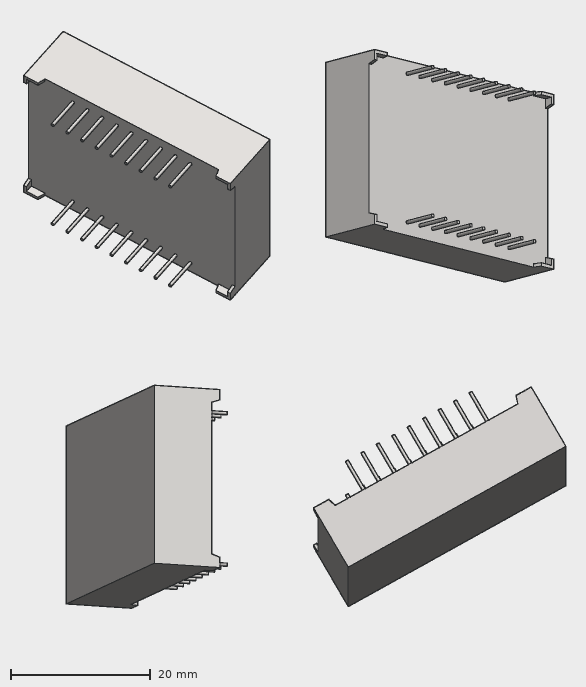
import cadquery as cq

width = 35.8
height = 25.85
total_depth = 14.0
pin_reach = 3.97
foot_height = 1.2
body_depth = total_depth - pin_reach - foot_height

foot_wall = 0.5
foot_tip_x = 2.5
foot_root_x = 2.9
foot_tip_z = 1.5
foot_root_z = 1.9

pins_per_row = 9
pin_pitch = 2.55
row_spacing = 21.98
pin_diameter = 0.5

foot_tip_y = -foot_height
pin_length = foot_height + pin_reach


def leg_profile(plane, root_length, tip_length):
    """Trapezoid starting at the housing corner, drawn as (distance from corner, Y)."""
    return cq.Workplane(plane).polyline(
        [(0, 0), (root_length, 0), (tip_length, foot_tip_y), (0, foot_tip_y)]
    ).close()


def make_foot():
    """Foot at the -X, -Z corner of the housing."""
    leg_along_x = leg_profile("XY", foot_root_x, foot_tip_x).extrude(foot_wall)
    leg_along_z = leg_profile("ZY", foot_root_z, foot_tip_z).extrude(-foot_wall)
    return leg_along_x.union(leg_along_z).translate((-width / 2, 0, -height / 2))


def make_pins():
    """Both rows of pins, standing out of the pin face toward -Y."""
    return (
        cq.Workplane("XZ")
        .rarray(pin_pitch, row_spacing, pins_per_row, 2)
        .circle(pin_diameter / 2)
        .extrude(pin_length)
    )


result = cq.Workplane("XY").box(width, body_depth, height, centered=(True, False, True))

lower_left_foot = make_foot()
lower_right_foot = lower_left_foot.mirror("YZ")
for lower_foot in (lower_left_foot, lower_right_foot):
    upper_foot = lower_foot.mirror("XY")
    result = result.union(lower_foot).union(upper_foot)

result = result.union(make_pins())